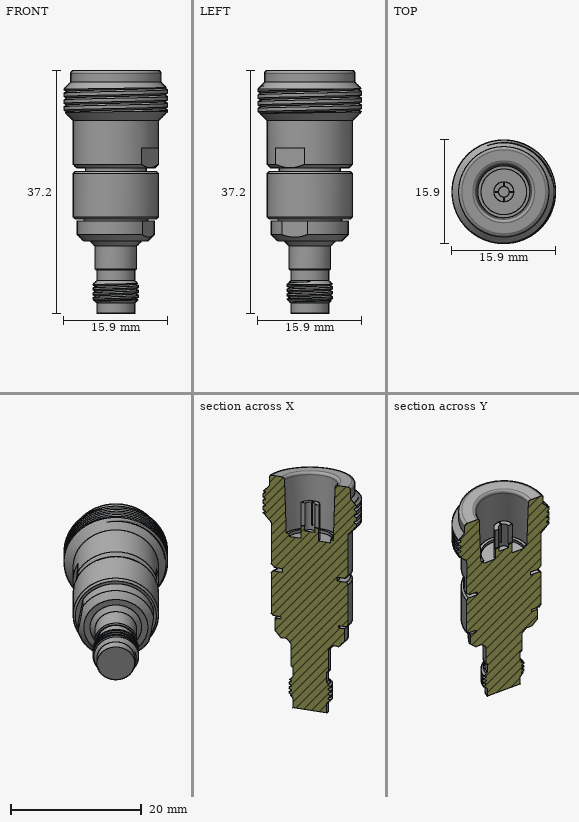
import cadquery as cq
import math

total_height = 37.2

nose_radius = 6.9
nose_bottom = 35.35
rim_round = 0.5
big_thread_diameter = 15.88
big_thread_radius = big_thread_diameter / 2
big_thread_depth = 0.45
big_thread_pitch = 1.05
big_thread_phase_z = 32.15
body_radius = 6.55
body_top = 29.5
body_bottom = 22.25
body_chamfer = 0.55

upper_neck_radius = 4.7
sleeve_radius = body_radius
sleeve_top = 21.72
sleeve_bottom = 14.43
sleeve_chamfer = 0.35
lower_neck_radius = 4.9

collar_radius = 5.9
collar_top = 14.15
collar_bottom = 11.05
collar_chamfer = 1.0
stem_radius = 3.2
stem_top = 10.3
stem_bottom = 6.62
stem_chamfer = 0.2
stem_flare = collar_bottom - stem_top

tip_radius = 2.9
small_thread_radius = 3.5
small_thread_depth = 0.4
small_thread_pitch = 0.75
small_thread_phase_z = 3.55
small_thread_top = 5.02
small_thread_bottom = 1.55

thread_angle = 60.0

body_flat_distance = 6.02
body_flat_top = 25.3
body_flat_angle = 150.0
collar_flat_distance = 5.5
collar_flat_angle = 155.0

socket_mouth_radius = 4.28
socket_seat_radius = 3.98
socket_depth = 9.0
recess_radius = 3.5
recess_depth = 0.5
contact_radius = 1.52
contact_tip_depth = 3.72
contact_hole_radius = 0.8
contact_hole_depth = 4.45
slot_width = 0.15
slot_depth = 3.72

cut_overlap = 0.37
groove_overlap = 0.07


def turned_body():
    """Outer shape of the whole part; every cone is at 45 degrees."""
    big_rise_top = big_thread_radius - nose_radius
    big_rise_bottom = big_thread_radius - body_radius
    small_rise = small_thread_radius - tip_radius
    outline = [
        (0, 0),
        (tip_radius, 0),
        (tip_radius, small_thread_bottom),
        (small_thread_radius, small_thread_bottom + small_rise),
        (small_thread_radius, small_thread_top - small_rise),
        (tip_radius, small_thread_top),
        (tip_radius, stem_bottom),
        (stem_radius - stem_chamfer, stem_bottom),
        (stem_radius, stem_bottom + stem_chamfer),
        (stem_radius, stem_top),
        (stem_radius + stem_flare, collar_bottom),
        (collar_radius - collar_chamfer, collar_bottom),
        (collar_radius, collar_bottom + collar_chamfer),
        (collar_radius, collar_top),
        (lower_neck_radius, collar_top),
        (lower_neck_radius, sleeve_bottom),
        (sleeve_radius - sleeve_chamfer, sleeve_bottom),
        (sleeve_radius, sleeve_bottom + sleeve_chamfer),
        (sleeve_radius, sleeve_top - sleeve_chamfer),
        (sleeve_radius - sleeve_chamfer, sleeve_top),
        (upper_neck_radius, sleeve_top),
        (upper_neck_radius, body_bottom),
        (body_radius - body_chamfer, body_bottom),
        (body_radius, body_bottom + body_chamfer),
        (body_radius, body_top),
        (big_thread_radius, body_top + big_rise_bottom),
        (big_thread_radius, nose_bottom - big_rise_top),
        (nose_radius, nose_bottom),
        (nose_radius, total_height),
        (0, total_height),
    ]
    return cq.Workplane("XZ").polyline(outline).close().revolve(360, (0, 0), (0, 1))


def socket():
    """Tapered bore from the socket face to its seat, with a recess in the floor."""
    seat_z = total_height - socket_depth
    outline = [
        (0, total_height),
        (socket_mouth_radius, total_height),
        (socket_seat_radius, seat_z),
        (recess_radius, seat_z),
        (recess_radius, seat_z - recess_depth),
        (0, seat_z - recess_depth),
    ]
    return cq.Workplane("XZ").polyline(outline).close().revolve(360, (0, 0), (0, 1))


def slotted_contact():
    """Hollow pin standing on the socket floor, split by two crossing slots."""
    tip_z = total_height - contact_tip_depth
    length = socket_depth + recess_depth - contact_tip_depth
    pin = cq.Workplane("XY").workplane(offset=tip_z - length).circle(contact_radius).extrude(length)
    pin = pin.faces(">Z").workplane().hole(2 * contact_hole_radius, contact_hole_depth)
    for angle in (0, 90):
        slot = cq.Workplane("XY").box(2 * contact_radius + cut_overlap, slot_width, slot_depth)
        slot = slot.rotate((0, 0, 0), (0, 0, 1), angle)
        pin = pin.cut(slot.translate((0, 0, tip_z - slot_depth / 2)))
    return pin


def flat_cutters(distance, bottom, top, angle):
    """Two opposite blocks that leave flats at the given distance from the axis."""
    depth = body_radius
    cutters = cq.Workplane("XY")
    for turn in (0, 180):
        block = cq.Workplane("XY").box(depth, 2 * body_radius, top - bottom)
        block = block.translate((distance + depth / 2, 0, (bottom + top) / 2))
        cutters = cutters.add(block.rotate((0, 0, 0), (0, 0, 1), angle + turn))
    return cutters.combine()


def cut_thread(blank, radius, depth, pitch, phase_z, bottom, top):
    """Cut a right-hand V thread, one full turn at a time, running out at both ends."""
    root = radius - depth
    outer = radius + groove_overlap
    half_width = (outer - root) * math.tan(math.radians(thread_angle / 2))
    profile = (
        cq.Workplane("XZ")
        .polyline([(root, 0), (outer, half_width), (outer, -half_width)])
        .close()
    )
    helix = cq.Wire.makeHelix(pitch, pitch, root)
    turn = profile.sweep(cq.Workplane(obj=helix), isFrenet=True)
    turn = turn.rotate((0, 0, 0), (0, 0, 1), -90)

    turns_below = math.ceil((phase_z - bottom) / pitch)
    turns_above = math.ceil((top - phase_z) / pitch)
    for index in range(-turns_below, turns_above):
        blank = blank.cut(turn.translate((0, 0, phase_z + index * pitch)))
    return blank


result = turned_body()
result = result.cut(socket())
result = result.faces(">Z").edges().fillet(rim_round)
result = result.union(slotted_contact())
result = result.cut(flat_cutters(body_flat_distance, body_bottom, body_flat_top, body_flat_angle))
result = result.cut(flat_cutters(collar_flat_distance, collar_bottom, collar_top, collar_flat_angle))
result = cut_thread(
    result, big_thread_radius, big_thread_depth, big_thread_pitch,
    big_thread_phase_z, body_top, nose_bottom,
)
result = cut_thread(
    result, small_thread_radius, small_thread_depth, small_thread_pitch,
    small_thread_phase_z, small_thread_bottom, small_thread_top,
)